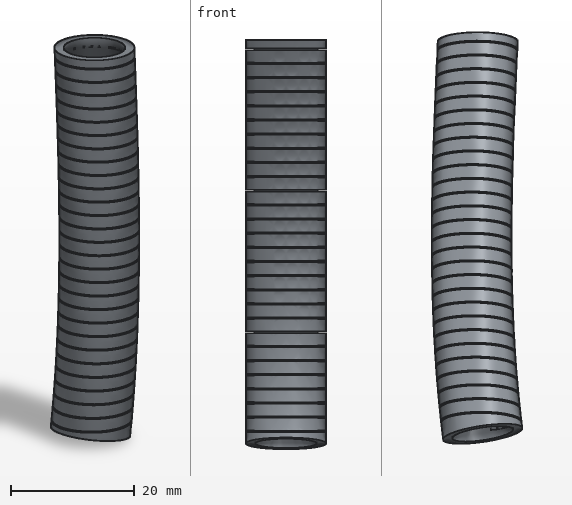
import cadquery as cq
import math

length = 66.2
outer_radius = 6.5
bore_radius = 4.95

bottom_slope = 0.15
bottom_z = outer_radius * math.sin(math.atan(bottom_slope))

top_overrun = 0.65
path_end_z = length + top_overrun
control_y = (-0.8, 2.0, 1.05, 0.0)

groove_count = 28
groove_width = 0.25
groove_depth = 1.3
first_groove_drop = 1.5
last_groove_drop = 63.3
groove_pitch = (last_groove_drop - first_groove_drop) / (groove_count - 1)
groove_floor_radius = outer_radius - groove_depth

cutter_radius = 1.3 * outer_radius

control_step_z = (path_end_z - bottom_z) / (len(control_y) - 1)
control_points = [(y, bottom_z + index * control_step_z) for index, y in enumerate(control_y)]


def centre_y(z):
    """Y of the centre line at height z."""
    t = (z - bottom_z) / (path_end_z - bottom_z)
    s = 1 - t
    y0, y1, y2, y3 = control_y
    return s**3 * y0 + 3 * s**2 * t * y1 + 3 * s * t**2 * y2 + t**3 * y3


def swept_rod(radius):
    """Round rod that starts on the sloping bottom face and follows the centre line upward."""
    start = cq.Plane(
        origin=(0, *control_points[0]),
        xDir=(-1, 0, 0),
        normal=(0, bottom_slope, 1),
    )
    path = cq.Workplane("YZ").bezier(control_points)
    return cq.Workplane(start).circle(radius).sweep(path)


def groove_ring(middle_z):
    """Flat ring of material to remove, centred on the centre line at its own height."""
    return (
        cq.Workplane("XY", origin=(0, centre_y(middle_z), middle_z - groove_width / 2))
        .circle(cutter_radius)
        .circle(groove_floor_radius)
        .extrude(groove_width)
        .val()
    )


tube = swept_rod(outer_radius).cut(swept_rod(bore_radius))

top_trim = (
    cq.Workplane("XY", origin=(0, 0, length))
    .circle(cutter_radius)
    .extrude(2 * top_overrun)
)
tube = tube.cut(top_trim)

groove_heights = [length - first_groove_drop - index * groove_pitch for index in range(groove_count)]
hose = tube.val().cut(*[groove_ring(z) for z in groove_heights])

result = cq.Workplane(hose)